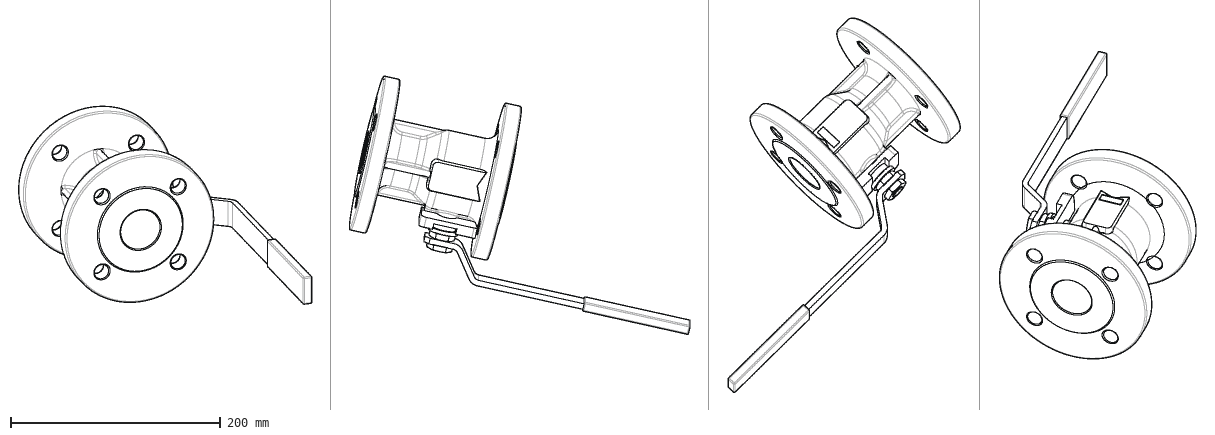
import cadquery as cq
import math


x_axis = ((0, 0, 0), (1, 0, 0))

face_to_face = 140.0
flange_radius = 75.5
flange_edge_fillet = 1.5
raised_face_radius = 42.3
raised_face_root_radius = 43.6
raised_face_height = 1.3
flange_front_at_rim = 2.4
flange_back_at_rim = 18.4
flange_back_at_hub = 19.3
flange_hub_radius = 38.0
bolt_circle_radius = 55.0
bolt_hole_diameter = 14.5
bolt_hole_chamfer = 1.0
bolt_count = 4

bore_radius = 20.0
bore_chamfer = 1.0
neck_radius = 26.0
neck_root_fillet = 12.0
cone_start = 52.8
cone_end = 71.1
cone_blend_radius = 12.0
body_radius = 38.3
body_root_fillet = 10.6

rib_radius = 37.9
rib_count = 4
rib_width = 6.0
rib_start = flange_back_at_rim - 1.0
rib_end = 75.0
rib_foot_fillet = 2.5

plate_start = 65.5
plate_end = 117.5
plate_notch = 6.5
plate_width = 28.5
plate_top = 39.0
plate_corner_fillet = 6.0
plate_base = 33.0
plate_draft = 16.0
lower_plate_top = 39.8
panel_start = 102.6
panel_end = 110.5
panel_width = 22.0
panel_height = 0.8

stem_x = 90.9
pad_start = 66.2
pad_end = 123.0
pad_width = 44.0
pad_bottom = 44.4
pad_root = 41.8
pad_top = 54.4
pad_corner_fillet = 5.0
pad_slot_floor = 49.0
pad_wall_start = 68.5
pad_wall_width = 10.0
housing_radius = 11.0
support_fillet = 2.5
edge_search_margin = 0.7

gland_radius = 11.3
washer_radius = 14.2
washer_bottom = 55.6
washer_top = 59.4
nut_across_corners = 25.0
nut_chamfer_radius = 11.6
nut_chamfer_height = 0.8
stem_radius = 6.5
stem_top = 77.6

lever_start = 74.7
lever_thickness = 5.6
lever_width = 26.0
lever_low_y = 68.2
lever_high_y = 98.0
lever_bend_x = 107.9
lever_slope = math.radians(54.0)
lever_bend_radius = 9.0
lever_end_chamfer = 5.0
nut_top = 76.6

grip_start = 237.5
grip_end = 341.5
grip_thickness = 9.0
grip_width = 28.0
grip_fillet = 1.2


def cylinder_along_y(radius, bottom, top):
    """Cylinder on the stem axis between two heights."""
    return cq.Workplane("XZ", origin=(stem_x, bottom, 0)).circle(radius).extrude(bottom - top)


def box_between(x_range, y_range, z_width):
    """Box centred on Z = 0 that spans the given X and Y ranges."""
    length = x_range[1] - x_range[0]
    height = y_range[1] - y_range[0]
    return cq.Workplane("XY").box(length, height, z_width, centered=(False, False, True)).translate(
        (x_range[0], y_range[0], 0)
    )


def position_at_bolts(inner_radius, inner_x, outer_x):
    """X of a tapered flange face at the bolt circle; the face ends at the rim."""
    share = (bolt_circle_radius - inner_radius) / (flange_radius - inner_radius)
    return inner_x + share * (outer_x - inner_x)


def make_bolt_hole():
    """Tool for one bolt hole above the bore, chamfered at both flange faces."""
    front = position_at_bolts(raised_face_root_radius, raised_face_height, flange_front_at_rim)
    back = position_at_bolts(flange_hub_radius, flange_back_at_hub, flange_back_at_rim)
    hole_radius = bolt_hole_diameter / 2
    reach = 2 * bolt_hole_chamfer
    outline = cq.Workplane("XZ").polyline(
        [
            (front - bolt_hole_chamfer, 0),
            (front - bolt_hole_chamfer, hole_radius + reach),
            (front + bolt_hole_chamfer, hole_radius),
            (back - bolt_hole_chamfer, hole_radius),
            (back + bolt_hole_chamfer, hole_radius + reach),
            (back + bolt_hole_chamfer, 0),
        ]
    )
    hole = outline.close().revolve(360, *x_axis)
    return hole.translate((0, 0, bolt_circle_radius))


def make_flange():
    """Flange whose sealing face lies at X = 0, with slightly tapered faces."""
    outline = (
        cq.Workplane("XY")
        .lineTo(0, raised_face_radius)
        .lineTo(raised_face_height, raised_face_root_radius)
        .lineTo(flange_front_at_rim, flange_radius)
        .lineTo(flange_back_at_rim, flange_radius)
        .lineTo(flange_back_at_hub, flange_hub_radius)
        .lineTo(flange_back_at_hub, 0)
        .close()
    )
    flange = outline.revolve(360, *x_axis)
    rim = cq.selectors.RadiusNthSelector(-1)
    flange = flange.edges(rim).fillet(flange_edge_fillet)
    first_hole = make_bolt_hole()
    for turn in range(bolt_count):
        flange = flange.cut(first_hole.rotate(*x_axis, 360 * (turn + 0.5) / bolt_count))
    return flange


def make_barrel():
    """Neck, cone and ball chamber, blended into both flanges."""
    cone_angle = math.atan2(body_radius - neck_radius, cone_end - cone_start)
    tangent = cone_blend_radius * math.tan(cone_angle / 2)
    along_x = tangent * math.cos(cone_angle)
    along_r = tangent * math.sin(cone_angle)
    left_root = flange_back_at_hub
    right_root = face_to_face - flange_back_at_hub
    outline = (
        cq.Workplane("XY")
        .moveTo(left_root, 0)
        .lineTo(left_root, neck_radius + neck_root_fillet)
        .radiusArc((left_root + neck_root_fillet, neck_radius), -neck_root_fillet)
        .lineTo(cone_start - tangent, neck_radius)
        .tangentArcPoint((cone_start + along_x, neck_radius + along_r), relative=False)
        .lineTo(cone_end - along_x, body_radius - along_r)
        .tangentArcPoint((cone_end + tangent, body_radius), relative=False)
        .lineTo(right_root - body_root_fillet, body_radius)
        .radiusArc((right_root, body_radius + body_root_fillet), -body_root_fillet)
        .lineTo(right_root, 0)
        .close()
    )
    return outline.revolve(360, *x_axis)


def make_rib():
    """Rib along the neck, standing up in +Z, with a fully rounded crest."""
    rib = (
        cq.Workplane("YZ", origin=(rib_start, 0, 0))
        .moveTo(-rib_width / 2, bore_radius)
        .lineTo(-rib_width / 2, rib_radius - rib_width / 2)
        .threePointArc((0, rib_radius), (rib_width / 2, rib_radius - rib_width / 2))
        .lineTo(rib_width / 2, bore_radius)
        .close()
        .extrude(rib_end - rib_start)
    )
    return rib


def make_ribbed(barrel):
    """Barrel with four ribs along the neck, filleted at their feet."""
    ribbed = barrel
    for turn in range(rib_count):
        ribbed = ribbed.union(make_rib().rotate(*x_axis, 360 * turn / rib_count))
    neck_start = flange_back_at_hub + neck_root_fillet
    foot_zone = cq.selectors.BoxSelector(
        (neck_start, -neck_radius, -neck_radius), (cone_start, neck_radius, neck_radius)
    )
    return ribbed.edges("|X").edges(foot_zone).fillet(rib_foot_fillet)


def make_plate(top):
    """Swallow-tailed name plate that stands up in +Z."""
    spread = (top - plate_base) * math.tan(math.radians(plate_draft))
    half = plate_width / 2 + spread
    left = plate_start - spread
    right = plate_end + spread
    outline = (
        cq.Workplane("XY", origin=(0, 0, plate_base))
        .moveTo(left + plate_corner_fillet, -half)
        .lineTo(right, -half)
        .lineTo(right - plate_notch, 0)
        .lineTo(right, half)
        .lineTo(left + plate_corner_fillet, half)
        .radiusArc((left, half - plate_corner_fillet), -plate_corner_fillet)
        .lineTo(left, plate_corner_fillet - half)
        .radiusArc((left + plate_corner_fillet, -half), -plate_corner_fillet)
        .close()
    )
    return outline.extrude(top - plate_base, taper=plate_draft)


def make_panel():
    """Raised rectangle on the upper name plate."""
    return (
        cq.Workplane("XY", origin=((panel_start + panel_end) / 2, 0, plate_top))
        .rect(panel_end - panel_start, panel_width)
        .extrude(panel_height)
    )


def make_stem_pad():
    """Slotted mounting pad whose underside slopes down towards its wall."""
    half_pad = pad_width / 2
    half_wall = pad_wall_width / 2
    section = cq.Workplane("YZ", origin=(pad_start, 0, 0)).polyline(
        [
            (pad_top, -half_pad),
            (pad_top, half_pad),
            (pad_bottom, half_pad),
            (pad_root, half_wall),
            (pad_root, -half_wall),
            (pad_bottom, -half_pad),
        ]
    )
    pad = section.close().extrude(pad_end - pad_start)
    pad = pad.edges("|Y").fillet(pad_corner_fillet)
    slot_range = (stem_x - gland_radius, stem_x + gland_radius)
    return pad.cut(box_between(slot_range, (pad_slot_floor, pad_top), pad_width))


def make_pad_support(barrel):
    """Barrel with the wall and stem housing that carry the pad, filleted at their feet."""
    wall = box_between((pad_wall_start, pad_end), (bore_radius, pad_bottom), pad_wall_width)
    support = wall.union(cylinder_along_y(housing_radius, bore_radius, pad_bottom))
    corner_offset = math.sqrt(housing_radius**2 - (pad_wall_width / 2) ** 2) + edge_search_margin
    corner_zone = cq.selectors.BoxSelector(
        (stem_x - corner_offset, 0, -housing_radius), (stem_x + corner_offset, pad_bottom, housing_radius)
    )
    support = support.edges("|Y").edges(corner_zone).fillet(support_fillet)
    blend_offset = housing_radius + support_fillet
    foot_zone = cq.selectors.BoxSelector(
        (stem_x - blend_offset, neck_radius, -blend_offset),
        (stem_x + blend_offset, body_radius + edge_search_margin, blend_offset),
    )
    return barrel.union(support).edges(foot_zone).fillet(support_fillet)


def make_nut(bottom, top):
    """Hexagon nut on the stem axis, its corners bevelled on both faces."""
    blank = (
        cq.Workplane("XZ", origin=(stem_x, bottom, 0))
        .polygon(6, nut_across_corners)
        .extrude(bottom - top)
    )
    corner_radius = nut_across_corners / 2
    bevel = cylinder_along_y(corner_radius, bottom, top)
    bevel = bevel.faces("<Y or >Y").chamfer(nut_chamfer_height, corner_radius - nut_chamfer_radius)
    return blank.intersect(bevel)


def make_stem():
    """Gland, washer, stem and the pair of nuts that clamp the lever."""
    lever_bottom = lever_low_y - lever_thickness / 2
    lever_top = lever_low_y + lever_thickness / 2
    return (
        cylinder_along_y(gland_radius, pad_slot_floor, washer_bottom)
        .union(cylinder_along_y(washer_radius, washer_bottom, washer_top))
        .union(make_nut(washer_top, lever_bottom))
        .union(make_nut(lever_top, nut_top))
        .union(cylinder_along_y(stem_radius, washer_top, stem_top))
    )


def make_lever():
    """Flat bar bent twice, swept along its centre line."""
    tangent = lever_bend_radius * math.tan(lever_slope / 2)
    along_x = tangent * math.cos(lever_slope)
    along_y = tangent * math.sin(lever_slope)
    upper_bend_x = lever_bend_x + (lever_high_y - lever_low_y) / math.tan(lever_slope)
    centre_line = (
        cq.Workplane("XY")
        .moveTo(lever_start, lever_low_y)
        .lineTo(lever_bend_x - tangent, lever_low_y)
        .tangentArcPoint((lever_bend_x + along_x, lever_low_y + along_y), relative=False)
        .lineTo(upper_bend_x - along_x, lever_high_y - along_y)
        .tangentArcPoint((upper_bend_x + tangent, lever_high_y), relative=False)
        .lineTo(grip_start + grip_thickness, lever_high_y)
    )
    bar = (
        cq.Workplane("YZ", origin=(lever_start, lever_low_y, 0))
        .rect(lever_thickness, lever_width)
        .sweep(centre_line)
    )
    return bar.faces("<X").edges("|Y").chamfer(lever_end_chamfer)


def make_grip():
    """Rounded sleeve over the outer end of the lever."""
    low = lever_high_y - grip_thickness / 2
    grip = box_between((grip_start, grip_end), (low, low + grip_thickness), grip_width)
    return grip.edges().fillet(grip_fillet)


def make_bore():
    """Through bore with a chamfer at each sealing face."""
    mouth = bore_radius + bore_chamfer
    outline = cq.Workplane("XY").polyline(
        [
            (0, 0),
            (0, mouth),
            (bore_chamfer, bore_radius),
            (face_to_face - bore_chamfer, bore_radius),
            (face_to_face, mouth),
            (face_to_face, 0),
        ]
    )
    return outline.close().revolve(360, *x_axis)


barrel = make_barrel()
flange = make_flange()

body = make_ribbed(barrel).union(make_pad_support(barrel))
body = body.union(flange)
body = body.union(flange.mirror("YZ").translate((face_to_face, 0, 0)))
body = body.union(make_plate(plate_top)).union(make_plate(lower_plate_top).mirror("XY")).union(make_panel())
body = body.union(make_stem_pad()).cut(make_bore())

result = body.union(make_stem()).union(make_lever()).union(make_grip())